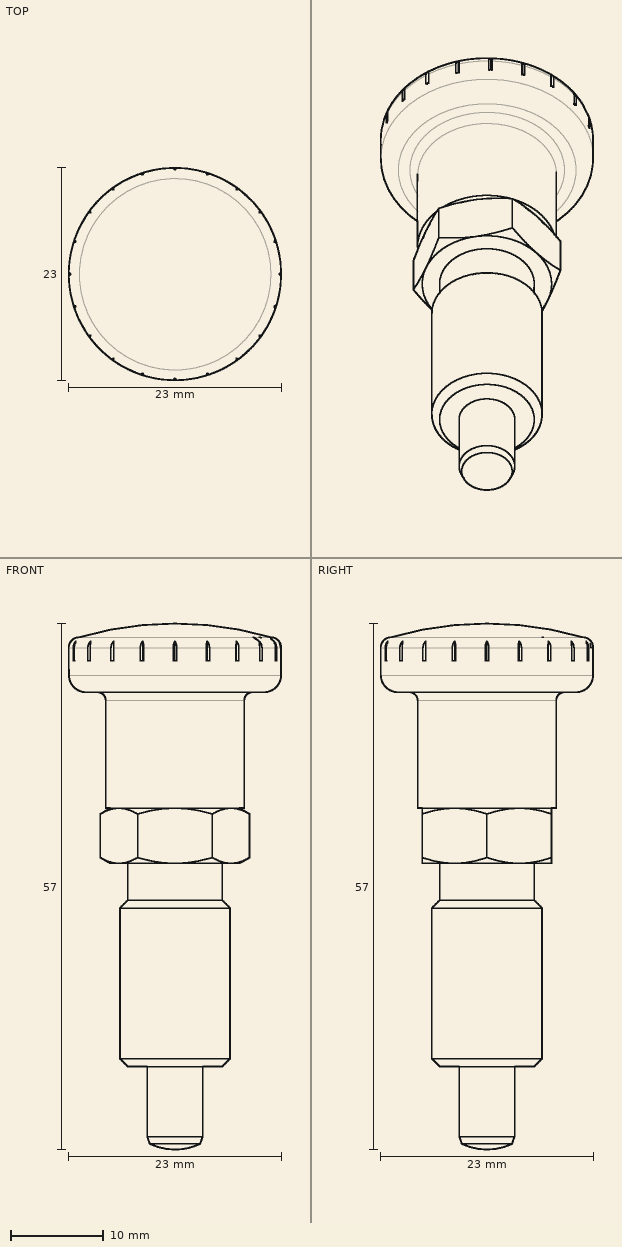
import cadquery as cq
import math

TOTAL_HEIGHT = 57.0
PIN_LENGTH = 9.0
SHANK_LENGTH = 18.0
NECK_LENGTH = 4.0
HEX_HEIGHT = 6.0
shank_bottom = PIN_LENGTH
neck_bottom = shank_bottom + SHANK_LENGTH
hex_bottom = neck_bottom + NECK_LENGTH
hex_top = hex_bottom + HEX_HEIGHT

PIN_RADIUS = 3.0
PIN_CHAMFER_HEIGHT = 0.8
PIN_CHAMFER_WIDTH = 0.3
PIN_DOME_RADIUS = 6.25
SHANK_RADIUS = 6.0
NECK_RADIUS = 5.15
HEX_ACROSS_FLATS = 14.0
HEX_CHAMFER_ANGLE = 30.0
shank_chamfer = SHANK_RADIUS - NECK_RADIUS

HEAD_RADIUS = 11.5
SLEEVE_RADIUS = 7.5
DOME_HEIGHT = 1.5
HEAD_TOP_RADIUS = 1.15
HEAD_BOTTOM_RADIUS = 1.9
HEAD_UNDERSIDE_HEIGHT = 49.55
SLEEVE_FILLET = 0.85
dome_edge_height = TOTAL_HEIGHT - DOME_HEIGHT
rim_top = dome_edge_height - HEAD_TOP_RADIUS

NOTCH_COUNT = 20
NOTCH_WIDTH = 0.4
NOTCH_DEPTH = 0.2
NOTCH_BOTTOM = 52.95


def arc_drop(arc_radius, distance):
    """How far an arc has fallen away from its crown at a distance from the axis."""
    return arc_radius - math.sqrt(arc_radius**2 - distance**2)


def knob_blank():
    """Domed head and sleeve as one turned shape, before the notches are cut."""
    dome_radius = HEAD_RADIUS - HEAD_TOP_RADIUS
    dome_arc_radius = (dome_radius**2 + DOME_HEIGHT**2) / (2 * DOME_HEIGHT)
    dome_middle = (dome_radius / 2, TOTAL_HEIGHT - arc_drop(dome_arc_radius, dome_radius / 2))
    underside_edge = HEAD_RADIUS - HEAD_BOTTOM_RADIUS
    rim_bottom = HEAD_UNDERSIDE_HEIGHT + HEAD_BOTTOM_RADIUS
    fillet_edge = SLEEVE_RADIUS + SLEEVE_FILLET
    fillet_bottom = HEAD_UNDERSIDE_HEIGHT - SLEEVE_FILLET
    return (
        cq.Workplane("XZ")
        .moveTo(0, hex_top)
        .lineTo(SLEEVE_RADIUS, hex_top)
        .lineTo(SLEEVE_RADIUS, fillet_bottom)
        .tangentArcPoint((fillet_edge, HEAD_UNDERSIDE_HEIGHT), relative=False)
        .lineTo(underside_edge, HEAD_UNDERSIDE_HEIGHT)
        .tangentArcPoint((HEAD_RADIUS, rim_bottom), relative=False)
        .lineTo(HEAD_RADIUS, rim_top)
        .tangentArcPoint((dome_radius, dome_edge_height), relative=False)
        .threePointArc(dome_middle, (0, TOTAL_HEIGHT))
        .close()
        .revolve(360, (0, 0, 0), (0, 1, 0))
    )


def grip_notch(angle):
    """V-shaped cutter, upright, running out through the rounded top of the rim."""
    root = HEAD_RADIUS - NOTCH_DEPTH
    mouth = HEAD_RADIUS + NOTCH_DEPTH
    return (
        cq.Workplane("XY", origin=(0, 0, NOTCH_BOTTOM))
        .polyline([(root, 0), (mouth, NOTCH_WIDTH), (mouth, -NOTCH_WIDTH)])
        .close()
        .extrude(TOTAL_HEIGHT - NOTCH_BOTTOM)
        .rotate((0, 0, 0), (0, 0, 1), angle)
    )


def make_knob():
    """Pull knob, resting on top of the hexagon."""
    knob = knob_blank()
    for index in range(NOTCH_COUNT):
        knob = knob.cut(grip_notch(index * 360 / NOTCH_COUNT))
    return knob


def hex_collar():
    """Hexagon with corners on the X axis, its corners chamfered at both ends."""
    corner_radius = HEX_ACROSS_FLATS / math.sqrt(3)
    flat_radius = HEX_ACROSS_FLATS / 2
    chamfer_height = (corner_radius - flat_radius) * math.tan(math.radians(HEX_CHAMFER_ANGLE))
    prism = (
        cq.Workplane("XY", origin=(0, 0, hex_bottom))
        .polygon(6, 2 * corner_radius)
        .extrude(HEX_HEIGHT)
    )
    chamfer_envelope = (
        cq.Workplane("XZ")
        .polyline([
            (0, hex_bottom),
            (flat_radius, hex_bottom),
            (corner_radius, hex_bottom + chamfer_height),
            (corner_radius, hex_top - chamfer_height),
            (flat_radius, hex_top),
            (0, hex_top),
        ])
        .close()
        .revolve(360, (0, 0, 0), (0, 1, 0))
    )
    return prism.intersect(chamfer_envelope)


def stem():
    """Pin, chamfered shank and neck as one turned shape."""
    tip_radius = PIN_RADIUS - PIN_CHAMFER_WIDTH
    tip_edge_height = arc_drop(PIN_DOME_RADIUS, tip_radius)
    dome_middle = (tip_radius / 2, arc_drop(PIN_DOME_RADIUS, tip_radius / 2))
    return (
        cq.Workplane("XZ")
        .threePointArc(dome_middle, (tip_radius, tip_edge_height))
        .lineTo(PIN_RADIUS, tip_edge_height + PIN_CHAMFER_HEIGHT)
        .lineTo(PIN_RADIUS, shank_bottom)
        .lineTo(NECK_RADIUS, shank_bottom)
        .lineTo(SHANK_RADIUS, shank_bottom + shank_chamfer)
        .lineTo(SHANK_RADIUS, neck_bottom - shank_chamfer)
        .lineTo(NECK_RADIUS, neck_bottom)
        .lineTo(NECK_RADIUS, hex_bottom)
        .lineTo(0, hex_bottom)
        .close()
        .revolve(360, (0, 0, 0), (0, 1, 0))
    )


def make_plunger():
    """Hexagon, neck, shank and pin in one piece."""
    return hex_collar().union(stem())


knob = make_knob()
plunger = make_plunger()
result = cq.Compound.makeCompound([knob.val(), plunger.val()])